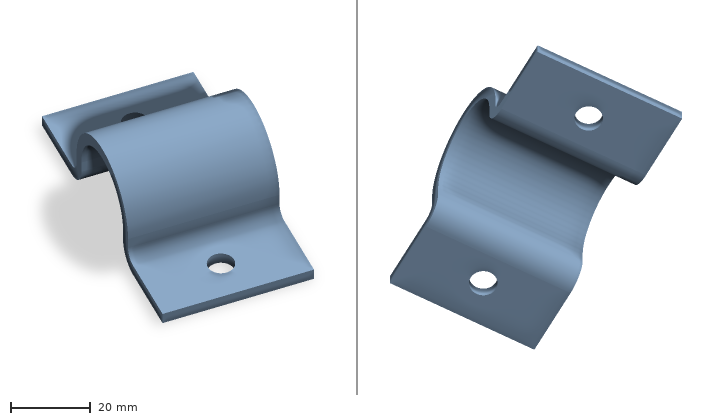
import cadquery as cq

length = 77.8
width = 41.3
height = 26.2
thickness = 3.2
saddle_radius = 16.65
bend_radius = 3.2
hole_diameter = 7.15
hole_spacing = 55.5

bore_radius = saddle_radius - thickness
outer_bend_radius = bend_radius + thickness
arch_center_z = height - saddle_radius
bend_center_x = saddle_radius + bend_radius
bend_center_z = thickness + bend_radius


def strap():
    """Bent strip: two feet, two bends and a semicircular saddle."""
    return (
        cq.Workplane("XZ")
        .moveTo(-length / 2, 0)
        .lineTo(-bend_center_x, 0)
        .radiusArc((-bore_radius, bend_center_z), -outer_bend_radius)
        .lineTo(-bore_radius, arch_center_z)
        .threePointArc((0, height - thickness), (bore_radius, arch_center_z))
        .lineTo(bore_radius, bend_center_z)
        .radiusArc((bend_center_x, 0), -outer_bend_radius)
        .lineTo(length / 2, 0)
        .lineTo(length / 2, thickness)
        .lineTo(bend_center_x, thickness)
        .radiusArc((saddle_radius, bend_center_z), bend_radius)
        .lineTo(saddle_radius, arch_center_z)
        .threePointArc((0, height), (-saddle_radius, arch_center_z))
        .lineTo(-saddle_radius, bend_center_z)
        .radiusArc((-bend_center_x, thickness), bend_radius)
        .lineTo(-length / 2, thickness)
        .close()
        .extrude(width / 2, both=True)
    )


def foot_holes():
    """One through hole in the middle of each foot's width."""
    return (
        cq.Workplane("XY")
        .pushPoints([(-hole_spacing / 2, 0), (hole_spacing / 2, 0)])
        .circle(hole_diameter / 2)
        .extrude(thickness)
    )


result = strap().cut(foot_holes())